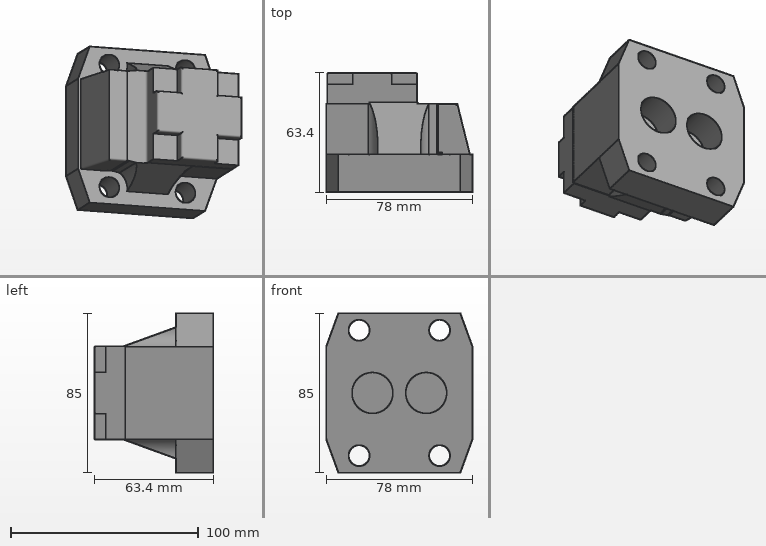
import cadquery as cq
import math


flange_width = 78.0
flange_height = 85.0
flange_thickness = 20.0
draft = math.tan(math.radians(20.0))

bolt_pitch_x = 42.8
bolt_pitch_z = 66.7
bolt_hole_diameter = 11.0
bolt_pocket_radius = 10.0

port_diameter = 21.8
port_pitch = 28.6
port_depth = 18.0

core_half_height = 24.55
core_back = 47.0
core_right = 20.6
shoulder_start = 15.7
shoulder_tilt = math.tan(math.radians(10.0))

total_depth = 63.4
cap_left = -38.4
cap_right = 9.5
cap_half_height = 24.9
cap_corner_width = 13.5
cap_corner_height = 13.8
cap_corner_depth = 6.0
cap_rim_radius = 1.0
cap_foot_radius = 1.2

cover_left = 19.8
cover_back = 46.9
cover_back_right = 30.9
cover_front_right = 37.6
cover_half_height = 24.65
cover_rim_radius = 1.0
relief_width = 3.0
relief_depth = 0.9

half_width = flange_width / 2
half_height = flange_height / 2
cap_width = cap_right - cap_left
cap_height = 2 * cap_half_height
cap_centre_x = (cap_left + cap_right) / 2
bolt_x = bolt_pitch_x / 2
bolt_z = bolt_pitch_z / 2
shoulder_top = bolt_z - math.sqrt(bolt_pocket_radius**2 - (bolt_x - shoulder_start) ** 2)
bulge_back = core_back + (shoulder_top - cap_half_height) / draft
bulge_top = shoulder_top + (core_back - flange_thickness) * draft


def extrude_along_y(sketch, start, end):
    """Extrude a sketch drawn on a plane facing -Y so that it fills Y = start to Y = end."""
    return sketch.extrude(start - end).translate((0, start, 0))


def section():
    """Sketch plane with local x along X and local y along Z."""
    return cq.Workplane("XZ")


def make_flange():
    corner_run = (half_height - core_half_height) * draft
    quarter = [(half_width, core_half_height), (half_width - corner_run, half_height)]
    right_side = [(x, -z) for x, z in reversed(quarter)] + quarter
    left_side = [(-x, -z) for x, z in right_side]
    return extrude_along_y(section().polyline(right_side + left_side).close(), 0, flange_thickness)


def make_core():
    """Block between the flange and the cap, with shoulders that fall toward the right."""
    shoulder_end = shoulder_top - (core_right - shoulder_start) * shoulder_tilt
    upper = [
        (-half_width, core_half_height),
        (shoulder_start, core_half_height),
        (shoulder_start, shoulder_top),
        (core_right, shoulder_end),
    ]
    lower = [(x, -z) for x, z in reversed(upper)]
    return extrude_along_y(section().polyline(upper + lower).close(), 0, core_back)


def make_bulge():
    """Ridge that tapers toward the back, hollowed at the sides by the bolt head pockets."""
    taper = [
        (flange_thickness, -bulge_top),
        (flange_thickness, bulge_top),
        (bulge_back, cap_half_height),
        (bulge_back, -cap_half_height),
    ]
    ridge = cq.Workplane("YZ").polyline(taper).close().extrude(core_right, both=True)
    pocket_sketch = section().rect(bolt_pitch_x, bolt_pitch_z, forConstruction=True)
    pocket_sketch = pocket_sketch.vertices().circle(bolt_pocket_radius)
    ridge = ridge.cut(extrude_along_y(pocket_sketch, flange_thickness, bulge_back))
    beside_cap = (
        cq.Workplane("XY")
        .rect(core_right - cap_right, bulge_back - core_back, centered=False)
        .extrude(half_height, both=True)
        .translate((cap_right, core_back, 0))
    )
    return ridge.cut(beside_cap)


def make_cap():
    """Block with its four back corners stepped down, which leaves a raised cross."""
    base_sketch = section().center(cap_centre_x, 0).rect(cap_width, cap_height)
    base = extrude_along_y(base_sketch, core_back, total_depth)
    corners = section().center(cap_centre_x, 0)
    corners = corners.rect(cap_width, cap_height, forConstruction=True).vertices()
    corners = corners.rect(2 * cap_corner_width, 2 * cap_corner_height)
    cap = base.cut(extrude_along_y(corners, total_depth - cap_corner_depth, total_depth))
    return cap.faces(">Y").edges().fillet(cap_rim_radius)


def make_cap_foot():
    """Concave fillet strip between the right side of the cap and the back of the core."""
    strip = (
        cq.Workplane("XY")
        .moveTo(cap_right, core_back)
        .lineTo(cap_right + cap_foot_radius, core_back)
        .radiusArc((cap_right, core_back + cap_foot_radius), cap_foot_radius)
        .close()
    )
    return strip.extrude(cap_half_height, both=True)


def make_housing():
    housing = make_flange().union(make_core()).union(make_bulge())
    housing = housing.union(make_cap()).union(make_cap_foot())
    bolts = section().rect(bolt_pitch_x, bolt_pitch_z, forConstruction=True)
    bolts = bolts.vertices().circle(bolt_hole_diameter / 2)
    ports = section().pushPoints([(-port_pitch / 2, 0), (port_pitch / 2, 0)])
    ports = ports.circle(port_diameter / 2)
    housing = housing.cut(extrude_along_y(bolts, 0, flange_thickness))
    return housing.cut(extrude_along_y(ports, 0, port_depth))


def make_cover():
    """Sloping cover that fits against the right side of the housing and laps over its edges."""
    outline = [
        (cover_left, flange_thickness),
        (cover_front_right, flange_thickness),
        (cover_back_right, cover_back),
        (cover_left, cover_back),
    ]
    cover = cq.Workplane("XY").polyline(outline).close().extrude(cover_half_height, both=True)
    rim = cover.faces("|Z").edges("not (<X or <Y)")
    cover = rim.fillet(cover_rim_radius)
    relief = (
        cq.Workplane("XY")
        .rect(relief_width, relief_depth, centered=False)
        .extrude(cover_half_height, both=True)
        .translate((cover_left, flange_thickness, 0))
    )
    return cover.cut(relief).cut(make_core())


housing = make_housing()
cover = make_cover()

result = cq.Compound.makeCompound([housing.val(), cover.val()])